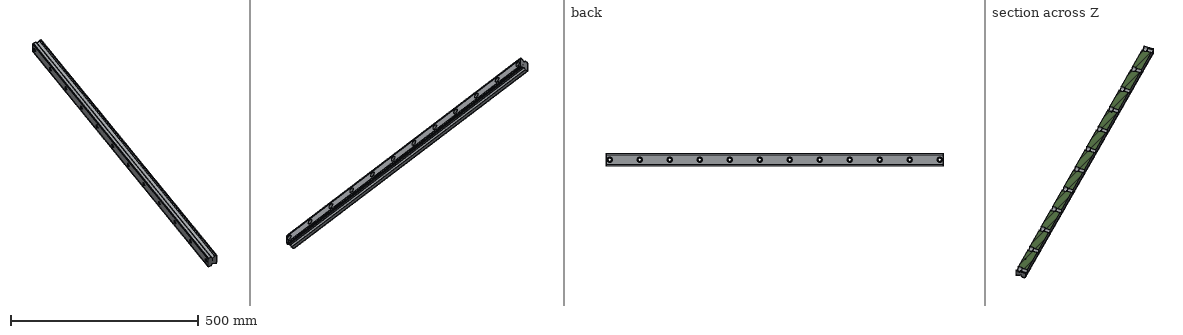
import cadquery as cq
import math

length = 900.0
height = 27.5
width = 34.0
half_width = width / 2

base_chamfer = 2.0
shoulder_height = 9.9

waist_half_width = 10.9
lower_flank_angle = 60.0
upper_flank_angle = 90.0 - lower_flank_angle

lower_groove_start = 20.9
lip_bottom = 23.8
lip_top = 26.4
top_half_width = 13.2
ball_groove_radius = 3.0

hole_diameter = 9.0
counterbore_diameter = 14.0
counterbore_depth = 12.0
hole_pitch = 80.0
hole_count = 12
first_hole = (length - (hole_count - 1) * hole_pitch) / 2


def make_rail():
    """Extrude the +Z half of the section along X and mirror it to the full rail."""
    lower_flank_height = (half_width - waist_half_width) / math.tan(math.radians(lower_flank_angle))
    waist_height = shoulder_height + lower_flank_height
    upper_flank_height = lower_groove_start - waist_height
    upper_flank_depth = upper_flank_height * math.tan(math.radians(upper_flank_angle))

    half_rail = (
        cq.Workplane("YZ")
        .lineTo(0, half_width - base_chamfer)
        .lineTo(base_chamfer, half_width)
        .lineTo(shoulder_height, half_width)
        .lineTo(waist_height, waist_half_width)
        .lineTo(lower_groove_start, waist_half_width + upper_flank_depth)
        .radiusArc((lip_bottom, half_width), -ball_groove_radius)
        .lineTo(lip_top, half_width)
        .radiusArc((height, top_half_width), -ball_groove_radius)
        .lineTo(height, 0)
        .close()
        .extrude(length)
    )
    return half_rail.union(half_rail.mirror("XY")).clean()


def drill_mounting_holes(rail):
    """Drill the row of counterbored holes from the top face down through the base."""
    centres = [(first_hole + i * hole_pitch, 0) for i in range(hole_count)]
    top_plane = cq.Workplane("XZ", origin=(0, height, 0)).pushPoints(centres)
    holes = top_plane.circle(hole_diameter / 2).extrude(height)
    counterbores = top_plane.circle(counterbore_diameter / 2).extrude(counterbore_depth)
    return rail.cut(holes).cut(counterbores)


result = drill_mounting_holes(make_rail())